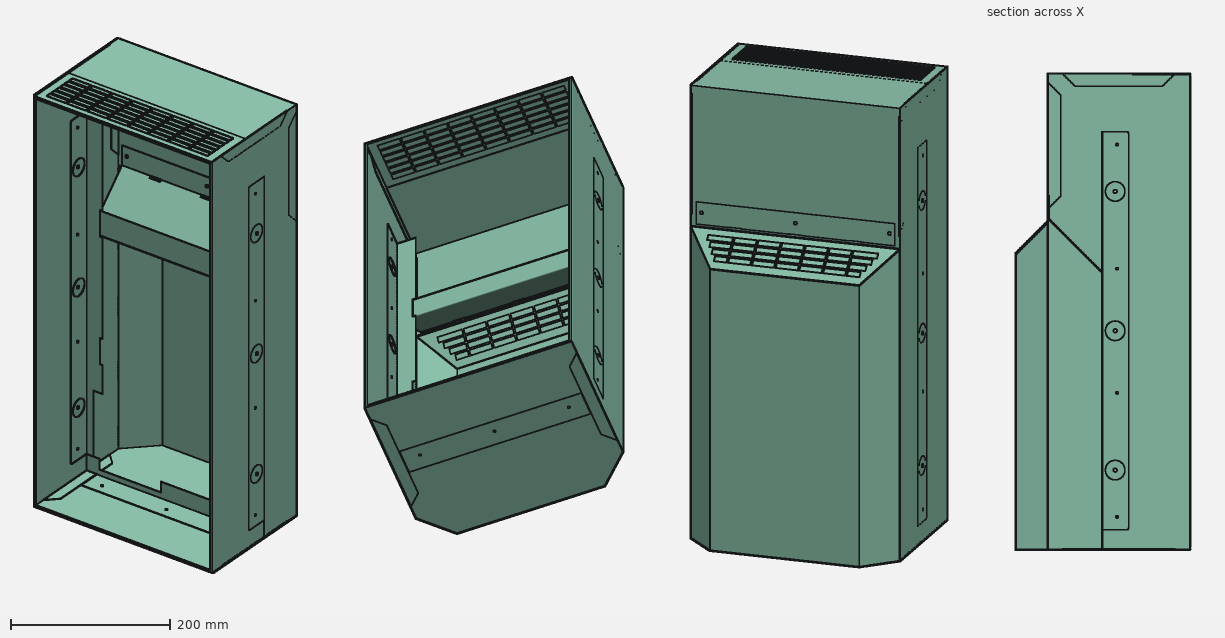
import cadquery as cq
import math


height = 600.0
width = 280.0
cabinet_depth = 180.0
total_depth = 220.0
sheet = 1.0

half_width = width / 2
inner_half = half_width - sheet
miter_shift = sheet * math.sqrt(2)

rim_return = 4.0
rim_radius = 2.0
slope_start = 414.0
tab_width = 15.5
tab_gap = 0.3
tab_front = 20.0
tab_rear = 161.0
rear_tab_low = 429.5
rear_tab_high = 588.0

slot_length = 29.5
slot_width = 7.0
slot_bar = 2.3
top_columns = 8
top_rows = 6
top_grid_center = 36.5
slope_rows = 4
slope_bars = 6
slope_grid_center = 200.0
slope_row_half = 113.5
slope_row_step = 5.5

top_cover_depth = 72.5

strip_width = 33.5
flange_rear = 111.5
flange_height = 26.0
strip_front = flange_rear - strip_width
flange_front = flange_rear - sheet
strip_corner = 2.5
bracket_length = 500.5
bracket_low = flange_height
flange_reach = flange_height + sheet
bracket_mid = bracket_low + bracket_length / 2
relief_length = 96.0
relief_depth = 14.5
screw_hole = 3.0
screw_line = 92.5
screw_offsets = (-234.0, -78.0, 78.0, 234.0)
access_hole = 24.5
access_line = 95.0
access_offsets = (-175.0, 0.0, 175.0)
mount_hole = 4.0

deflector_half = 132.5
lip_half = 117.0
lip_low = 348.0
lip_high = 387.5
bend_radius = 1.5
rail_high = 446.0
rail_screw = 4.0
rail_screw_spacing = 125.5
rail_screw_height = 432.0
bend_slot_length = 16.0
bend_slot_width = 2.0
bend_slot_reach = 3.5
bend_slot_spacing = 80.0
lip_clearance = 0.5
notch_low = 350.0
notch_high = lip_high + lip_clearance
notch_half = lip_half + lip_clearance

floor_strip_half = 122.5
floor_relief_left = -118.0
floor_relief_right = floor_relief_left + relief_length
floor_relief_low = 10.0
floor_screw_spacing = 100.0


def block(x0, x1, y0, y1, z0, z1):
    """Axis-aligned block between two opposite corners."""
    return cq.Workplane("XY").box(x1 - x0, y1 - y0, z1 - z0, centered=False).translate((x0, y0, z0))


def along_x(y, z, diameter, x0, x1):
    """Round bar along X, used to drill holes."""
    return cq.Workplane("YZ", origin=(x0, y, z)).circle(diameter / 2).extrude(x1 - x0)


def along_y(x, z, diameter, y0, y1):
    """Round bar along Y, used to drill holes."""
    return cq.Workplane("XZ", origin=(x, y1, z)).circle(diameter / 2).extrude(y1 - y0)


def along_z(x, y, diameter, z0, z1):
    """Round bar along Z, used to drill holes."""
    return cq.Workplane("XY", origin=(x, y, z0)).circle(diameter / 2).extrude(z1 - z0)


def bulge_space(inset, slope_inset, front):
    """Rear bulge with walls moved inwards; its two sides and its top slope at 45 degrees."""
    rear = total_depth - inset
    shift = inset * math.sqrt(2)
    front_half = half_width - shift
    rear_half = front_half - (rear - cabinet_depth)
    plan = [
        (-front_half, front), (front_half, front), (front_half, cabinet_depth),
        (rear_half, rear), (-rear_half, rear), (-front_half, cabinet_depth),
    ]
    top = slope_start - slope_inset * math.sqrt(2)
    side = [
        (front, inset), (front, top), (cabinet_depth, top),
        (rear, top - (rear - cabinet_depth)), (rear, inset),
    ]
    footprint = cq.Workplane("XY").polyline(plan).close().extrude(height)
    elevation = cq.Workplane("YZ", origin=(-half_width, 0, 0)).polyline(side).close().extrude(width)
    return footprint.intersect(elevation)


def mitred_tab(plane, offset, points):
    """Thin tab with 45 degree ends, drawn in the given plane."""
    return cq.Workplane(plane).workplane(offset=offset).polyline(points).close().extrude(sheet)


def left_tabs():
    """Tabs folded from the top, the floor and the rear wall into the left corners."""
    inner_x = -inner_half + tab_gap
    roof = height - sheet
    rear = cabinet_depth - sheet
    top_tab = mitred_tab("YZ", inner_x, [
        (tab_front, roof), (tab_rear, roof),
        (tab_rear - tab_width, roof - tab_width), (tab_front + tab_width, roof - tab_width),
    ])
    rear_tab = mitred_tab("YZ", inner_x, [
        (rear, rear_tab_low), (rear, rear_tab_high),
        (rear - tab_width, rear_tab_high - tab_width), (rear - tab_width, rear_tab_low + tab_width),
    ])
    floor_tab = mitred_tab("XY", sheet, [
        (inner_x, tab_front), (inner_x, tab_rear),
        (inner_x + tab_width, tab_rear - tab_width), (inner_x + tab_width, tab_front + tab_width),
    ])
    return [top_tab, rear_tab, floor_tab]


def top_slots():
    """Slots through the top panel, in a regular grid near the front."""
    return (
        cq.Workplane("XY", origin=(0, top_grid_center, height))
        .rarray(slot_length + slot_bar, slot_width + slot_bar, top_columns, top_rows)
        .rect(slot_length, slot_width)
        .extrude(2 * sheet, both=True)
        .intersect(block(-half_width, half_width, 0, cabinet_depth, height - sheet, height))
    )


def slope_slots():
    """Slots through the sloping panel; each row is cut into lengths and shortens to the rear."""
    row_pitch = slot_width + slot_bar
    center_z = slope_start - (slope_grid_center - cabinet_depth)
    plane = cq.Plane(origin=(0, slope_grid_center, center_z), xDir=(1, 0, 0), normal=(0, 1, 1))
    rows = []
    for row in range(slope_rows):
        down_slope = (row - (slope_rows - 1) / 2) * row_pitch
        row_length = 2 * (slope_row_half - row * slope_row_step)
        full_row = (
            cq.Workplane(plane).center(0, down_slope)
            .rect(row_length, slot_width)
            .extrude(sheet, both=True)
        )
        bars = (
            cq.Workplane(plane).center(0, down_slope)
            .rarray(slot_length + slot_bar, row_pitch, slope_bars, 1)
            .rect(slot_bar, row_pitch)
            .extrude(2 * sheet, both=True)
        )
        rows.append(full_row.cut(bars))
    return rows


def make_housing():
    """Sheet metal cabinet with an open front, a rear bulge and two ventilation grids."""
    cabinet = block(-half_width, half_width, 0, cabinet_depth, 0, height)
    cabinet = cabinet.faces("<Y").edges().fillet(rim_radius)
    cabinet = cabinet.edges(">Y and >Z").fillet(rim_radius)
    body = cabinet.union(bulge_space(0, 0, cabinet_depth - sheet))
    rear = cabinet_depth - sheet
    body = body.cut(block(-inner_half, inner_half, sheet, rear, sheet, height - sheet))
    opening_half = half_width - rim_return
    body = body.cut(block(-opening_half, opening_half, 0, sheet, rim_return, height - rim_return))
    body = body.cut(bulge_space(sheet, sheet, rear))
    for tab in left_tabs():
        body = body.union(tab).union(tab.mirror("YZ"))
    body = body.cut(top_slots())
    for row in slope_slots():
        body = body.cut(row)
    for offset in access_offsets:
        body = body.cut(along_x(access_line, bracket_mid + offset, mount_hole, -half_width, half_width))
    return body


def make_top_cover():
    """Flat plate under the grid of the top panel."""
    half = inner_half - tab_gap - sheet
    return block(-half, half, sheet, top_cover_depth, height - 2 * sheet, height - sheet)


def make_slope_cover():
    """Sloping plate under the grid of the bulge."""
    front = cabinet_depth - sheet
    cover = bulge_space(sheet, sheet, front).cut(bulge_space(0, 2 * sheet, front))
    behind_wall = block(-half_width, half_width, cabinet_depth, total_depth, 2 * sheet, height)
    return cover.intersect(behind_wall)


def make_side_bracket():
    """Left angle bracket; the right one is the same part turned end for end."""
    wall = -inner_half
    high = bracket_low + bracket_length
    flange_edge = -half_width + flange_reach
    strip = block(wall, wall + sheet, strip_front, flange_rear, bracket_low, high)
    strip = strip.edges("|X and <Y").fillet(strip_corner)
    body = strip.union(block(wall, flange_edge, flange_front, flange_rear, bracket_low, high))
    relief_edge = flange_edge - relief_depth
    body = body.cut(
        block(relief_edge, flange_edge, flange_front, flange_rear, bracket_low, bracket_low + relief_length)
    )
    for low in (notch_low, 2 * bracket_mid - notch_high):
        notch_top = low + notch_high - notch_low
        body = body.cut(block(-notch_half, flange_edge, flange_front, flange_rear, low, notch_top))
    for offset in screw_offsets:
        body = body.cut(along_x(screw_line, bracket_mid + offset, screw_hole, wall, wall + sheet))
    for offset in access_offsets:
        body = body.cut(along_x(access_line, bracket_mid + offset, access_hole, wall, wall + sheet))
    return body


def make_floor_bracket():
    """Angle bracket on the floor; its upright lip reaches over the floor tabs."""
    strip = block(-floor_strip_half, floor_strip_half, strip_front, flange_rear, sheet, 2 * sheet)
    lip_end = inner_half - tab_gap
    lip = block(-lip_end, lip_end, flange_front, flange_rear, 2 * sheet, flange_height)
    body = strip.union(lip)
    body = body.cut(block(
        floor_relief_left, floor_relief_right, flange_front, flange_rear, floor_relief_low, flange_height
    ))
    for x in (-floor_screw_spacing, 0, floor_screw_spacing):
        body = body.cut(along_z(x, screw_line, screw_hole, sheet, 2 * sheet))
    return body


def round_edge(body, y, z, radius):
    """Round the edge along X whose middle lies at the given Y and Z."""
    return body.edges(cq.selectors.NearestToPointSelector((0, y, z))).fillet(radius)


def make_deflector():
    """Rail on the rear wall, a deck falling forwards at 45 degrees and an upturned lip."""
    rear = cabinet_depth - sheet
    bend = lip_low + rear - flange_front
    inside_bend = bend + miter_shift - sheet
    inside_lip_low = lip_low + sheet + miter_shift
    profile = [
        (rear, rail_high), (rear, bend), (flange_front, lip_low), (flange_front, lip_high),
        (flange_rear, lip_high), (flange_rear, inside_lip_low),
        (rear - sheet, inside_bend), (rear - sheet, rail_high),
    ]
    body = cq.Workplane("YZ", origin=(-deflector_half, 0, 0)).polyline(profile).close()
    body = body.extrude(2 * deflector_half)
    body = round_edge(body, flange_front, lip_low, bend_radius)
    body = round_edge(body, flange_rear, inside_lip_low, bend_radius - sheet)
    for x0, x1 in ((-deflector_half, -lip_half), (lip_half, deflector_half)):
        body = body.cut(block(x0, x1, flange_front, flange_rear + sheet, 0, lip_high))
    for x in (-rail_screw_spacing, 0, rail_screw_spacing):
        body = body.cut(along_y(x, rail_screw_height, rail_screw, rear - sheet, rear))
    for x in (-bend_slot_spacing, 0, bend_slot_spacing):
        x0 = x - bend_slot_length / 2
        body = body.cut(block(
            x0, x0 + bend_slot_length, rear - bend_slot_reach, rear, bend - bend_slot_width, inside_bend
        ))
    return body


housing = make_housing()
top_cover = make_top_cover()
slope_cover = make_slope_cover()
left_bracket = make_side_bracket()
right_bracket = left_bracket.rotate((0, 0, bracket_mid), (0, 1, bracket_mid), 180)
floor_bracket = make_floor_bracket()
deflector = make_deflector()

bodies = [housing, top_cover, slope_cover, left_bracket, right_bracket, floor_bracket, deflector]
result = cq.Compound.makeCompound([body.val() for body in bodies])